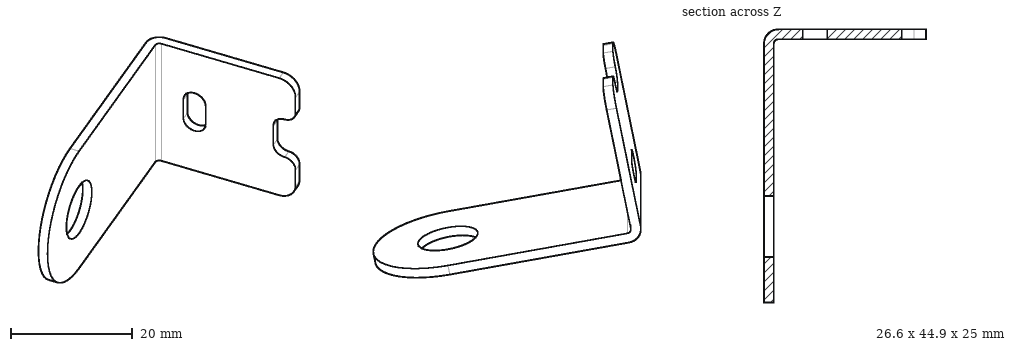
import cadquery as cq

thickness = 1.65
inner_bend_radius = 0.75
outer_bend_radius = inner_bend_radius + thickness

bracket_width = 26.65
bracket_length = 44.89
bracket_height = 25.0
mid_height = bracket_height / 2

end_radius = bracket_height / 2
hole_diameter = 10.0

corner_radius = 3.0
slot_width = 4.0
slot_length = 8.0
slot_center_x = 8.4
notch_depth = 4.0
notch_height = 8.0
notch_radius = notch_depth / 2

cut_length = 4 * thickness


def bent_sheet():
    """L-shaped sheet, outer bend corner at X = 0, Y = bracket_length."""
    outline = (
        cq.Workplane("XY")
        .moveTo(0, 0)
        .lineTo(0, bracket_length - outer_bend_radius)
        .radiusArc((outer_bend_radius, bracket_length), outer_bend_radius)
        .lineTo(bracket_width, bracket_length)
        .lineTo(bracket_width, bracket_length - thickness)
        .lineTo(outer_bend_radius, bracket_length - thickness)
        .radiusArc((thickness, bracket_length - outer_bend_radius), -inner_bend_radius)
        .lineTo(thickness, 0)
        .close()
    )
    return outline.extrude(bracket_height)


def long_flange_cutter():
    """Material outside the round end of the long flange, plus the concentric hole."""
    origin = (-thickness, end_radius, mid_height)
    plane = cq.Workplane("YZ", origin=origin)
    end_block = plane.center(-end_radius / 2, 0).rect(end_radius, bracket_height).extrude(cut_length)
    end_disc = plane.circle(end_radius).extrude(cut_length)
    hole = plane.circle(hole_diameter / 2).extrude(cut_length)
    return end_block.cut(end_disc).union(hole)


def slot_cutter():
    """Upright obround slot through the short flange."""
    return (
        cq.Workplane("XZ", origin=(slot_center_x, bracket_length + thickness, mid_height))
        .slot2D(slot_length, slot_width, 90)
        .extrude(cut_length)
    )


def notch_cutter():
    """Notch in the free edge of the short flange: concave inner corners, convex mouth corners."""
    edge_x = bracket_width
    floor_x = edge_x - notch_depth
    side_x = floor_x + notch_radius
    half_height = notch_height / 2
    floor_half = half_height - notch_radius
    mouth_half = half_height + notch_radius
    return (
        cq.Workplane("XZ", origin=(0, bracket_length + thickness, mid_height))
        .moveTo(edge_x, -mouth_half)
        .radiusArc((side_x, -half_height), -notch_radius)
        .radiusArc((floor_x, -floor_half), notch_radius)
        .lineTo(floor_x, floor_half)
        .radiusArc((side_x, half_height), notch_radius)
        .radiusArc((edge_x, mouth_half), -notch_radius)
        .close()
        .extrude(cut_length)
    )


bracket = bent_sheet()
bracket = bracket.faces(">X").edges("|Y").fillet(corner_radius)
bracket = bracket.cut(long_flange_cutter())
bracket = bracket.cut(slot_cutter())
result = bracket.cut(notch_cutter())